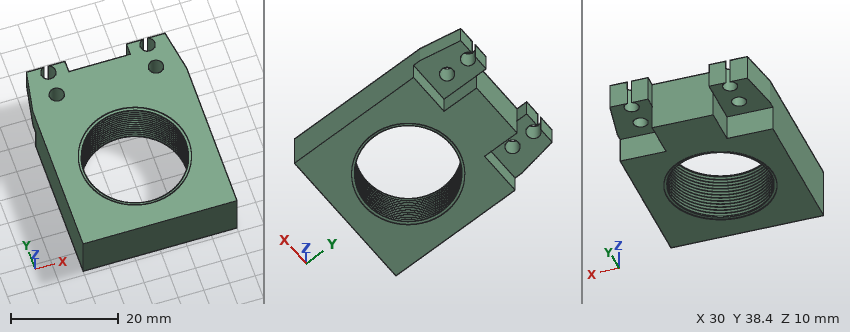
import cadquery as cq

width = 30.0
length = 38.37
thickness = 10.0
taper_inset = 1.5
taper_length = 8.45

flange_thickness = thickness / 2
undercut_length = 10.0
notch_width = 11.97
notch_depth = 2.3

pin_diameter = 2.8
pin_spacing_x = 19.35
pin_spacing_y = 5.0
rear_pin_setback = 1.35

bore_y = 15.0
bore_diameter = 19.9
groove_diameter = 20.6
thread_pitch = 0.705
recess_diameter = 21.0
recess_depth = 0.2
groove_mouth = 0.6


def make_plate():
    """Rectangular plate with both rear corners tapered."""
    half = width / 2
    outline = [
        (-half, 0),
        (half, 0),
        (half, length - taper_length),
        (half - taper_inset, length),
        (-half + taper_inset, length),
        (-half, length - taper_length),
    ]
    return cq.Workplane("XY").polyline(outline).close().extrude(thickness)


def make_rear_notch():
    """Central notch through the full thickness of the rear edge."""
    return (
        cq.Workplane("XY")
        .center(0, length - notch_depth / 2)
        .rect(notch_width, notch_depth)
        .extrude(thickness)
    )


def make_undercut():
    """Space below the rear flange, on both sides of the tongue."""
    lower_rear = (
        cq.Workplane("XY")
        .center(0, length - undercut_length / 2)
        .rect(width, undercut_length)
        .extrude(thickness - flange_thickness)
    )
    tongue = (
        cq.Workplane("XY")
        .center(0, length - undercut_length / 2)
        .rect(notch_width, undercut_length)
        .extrude(thickness - flange_thickness)
    )
    return lower_rear.cut(tongue)


def make_pin_holes():
    """Two by two holes; the rear pair breaks through the rear edge."""
    centre_y = length - rear_pin_setback - pin_spacing_y / 2
    return (
        cq.Workplane("XY")
        .center(0, centre_y)
        .rarray(pin_spacing_x, pin_spacing_y, 2, 2)
        .circle(pin_diameter / 2)
        .extrude(thickness)
    )


def make_threaded_bore():
    """Bore with ring grooves standing for the thread and a shallow recess at each end."""
    crest = bore_diameter / 2
    root = groove_diameter / 2
    recess = recess_diameter / 2
    thread_bottom = recess_depth
    thread_top = thickness - recess_depth
    groove_count = int((thread_top - thread_bottom) / thread_pitch)
    first_centre = thickness / 2 - (groove_count - 1) * thread_pitch / 2

    profile = cq.Workplane("XZ").moveTo(0, 0).lineTo(recess, 0)
    profile = profile.lineTo(recess, thread_bottom).lineTo(crest, thread_bottom)
    for index in range(groove_count):
        centre = first_centre + index * thread_pitch
        profile = (
            profile.lineTo(crest, centre - groove_mouth / 2)
            .lineTo(root, centre)
            .lineTo(crest, centre + groove_mouth / 2)
        )
    profile = profile.lineTo(crest, thread_top).lineTo(recess, thread_top)
    profile = profile.lineTo(recess, thickness).lineTo(0, thickness).close()
    return profile.revolve(360, (0, 0, 0), (0, 1, 0)).translate((0, bore_y, 0))


result = (
    make_plate()
    .cut(make_rear_notch())
    .cut(make_undercut())
    .cut(make_pin_holes())
    .cut(make_threaded_bore())
)